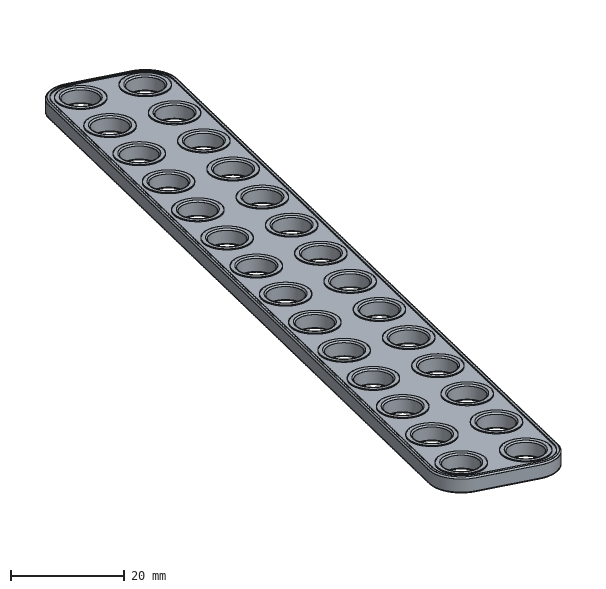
import cadquery as cq

length = 175.0
holes_along = 14
holes_across = 2
pitch = length / holes_along
width = pitch * holes_across
thickness = 3.2
corner_radius = pitch / 2

hole_diameter = 7.0
bevel = 0.3

ring_diameter = 9.3
border_width = 0.8
recess_depth = 0.21

top_z = thickness / 2


def rounded_slab(inset, height):
    """Rounded rectangle set in from the outline, extruded down from the top face."""
    return (
        cq.Workplane("XY")
        .workplane(offset=top_z)
        .rect(length - 2 * inset, width - 2 * inset)
        .extrude(-height)
        .edges("|Z")
        .fillet(corner_radius - inset)
    )


def cut_at_holes(body, cutter):
    """Subtract a copy of the cutter at every hole position."""
    shape = cutter.val()
    grid = cq.Workplane("XY").rarray(pitch, pitch, holes_along, holes_across)
    return body.cut(grid.eachpoint(lambda place: shape.moved(place)))


def make_plate():
    """Flat plate with corners concentric with the corner holes, beveled on both faces."""
    return rounded_slab(0, thickness).faces(">Z or <Z").edges().chamfer(bevel)


def make_recess():
    """Recess volume: the area inside the border, except the rings around the holes."""
    ring = cq.Workplane("XY").workplane(offset=top_z).circle(ring_diameter / 2).extrude(-recess_depth)
    return cut_at_holes(rounded_slab(border_width, recess_depth), ring)


def make_hole_cutter():
    """Through hole that widens by the bevel at both faces, as a turned profile."""
    bore_radius = hole_diameter / 2
    mouth_radius = bore_radius + bevel
    bevel_z = top_z - bevel
    return (
        cq.Workplane("XZ")
        .moveTo(0, -top_z)
        .lineTo(mouth_radius, -top_z)
        .lineTo(bore_radius, -bevel_z)
        .lineTo(bore_radius, bevel_z)
        .lineTo(mouth_radius, top_z)
        .lineTo(0, top_z)
        .close()
        .revolve(360, (0, 0, 0), (0, 1, 0))
    )


result = cut_at_holes(make_plate().cut(make_recess()), make_hole_cutter())